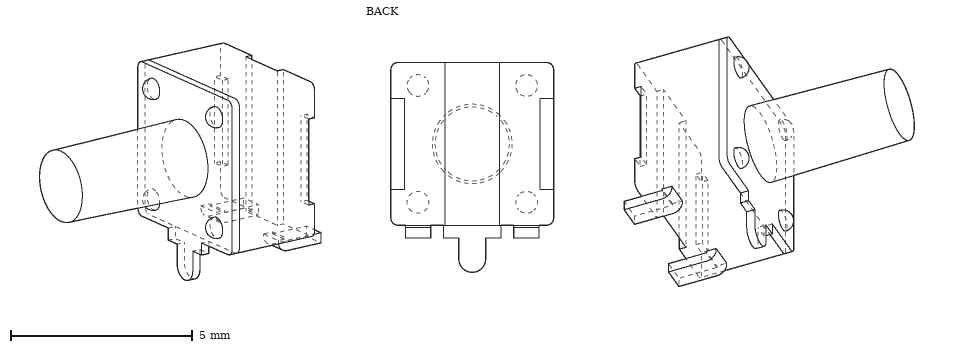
import cadquery as cq

TOTAL_LENGTH = 7.5

SIDE = 4.5
CORNER_RADIUS = 0.2
COVER_THICKNESS = 0.25
HOUSING_DEPTH = 2.55
HOUSING_BACK = COVER_THICKNESS + HOUSING_DEPTH
BOTTOM = -SIDE / 2

CHANNEL_WIDTH = 1.5
CHANNEL_DEPTH = 0.2
SIDE_NOTCH_HEIGHT = 2.505
SIDE_NOTCH_DEPTH = 0.195
SIDE_NOTCH_REACH = 0.375

SHOULDER_WIDTH = 1.6
SHOULDER_DROP = 0.35
TONGUE_WIDTH = 0.75
TONGUE_DROP = 1.3

BUTTON_BASE_DIAMETER = 2.2
BUTTON_TIP_DIAMETER = 2.05

STUD_RADIUS = 0.3
STUD_SPACING_X = 3.0
STUD_SPACING_Z = 3.225

TERMINAL_WIDTH = 0.705
TERMINAL_THICKNESS = 0.3
TERMINAL_SPACING = 2.985
TERMINAL_OVERHANG = 0.5
TERMINAL_DROP = SHOULDER_DROP
TERMINAL_INSET = 0.645

BUTTON_LENGTH = TOTAL_LENGTH - HOUSING_BACK - TERMINAL_OVERHANG


def rounded_square(start_y, depth):
    """Square block with rounded edges along Y, reaching from start_y toward +Y."""
    return (
        cq.Workplane("XZ", origin=(0, start_y, 0))
        .rect(SIDE, SIDE)
        .extrude(-depth)
        .edges("|Y")
        .fillet(CORNER_RADIUS)
    )


def make_housing():
    channel = cq.Workplane("XY").box(CHANNEL_WIDTH, 2 * CHANNEL_DEPTH, SIDE)
    side_notches = (
        cq.Workplane("XZ")
        .pushPoints([(-SIDE / 2, 0), (SIDE / 2, 0)])
        .rect(2 * SIDE_NOTCH_REACH, SIDE_NOTCH_HEIGHT)
        .extrude(SIDE_NOTCH_DEPTH)
    )
    back_face = (0, HOUSING_BACK, 0)
    block = rounded_square(COVER_THICKNESS, HOUSING_DEPTH)
    return block.cut(channel.translate(back_face)).cut(side_notches.translate(back_face))


def make_cover():
    half_shoulder = SHOULDER_WIDTH / 2
    half_tongue = TONGUE_WIDTH / 2
    shoulder_z = BOTTOM - SHOULDER_DROP
    tip_z = BOTTOM - TONGUE_DROP
    round_start_z = tip_z + half_tongue
    tab = (
        cq.Workplane("XZ")
        .moveTo(-half_shoulder, 0)
        .lineTo(-half_shoulder, shoulder_z)
        .lineTo(-half_tongue, shoulder_z)
        .lineTo(-half_tongue, round_start_z)
        .threePointArc((0, tip_z), (half_tongue, round_start_z))
        .lineTo(half_tongue, shoulder_z)
        .lineTo(half_shoulder, shoulder_z)
        .lineTo(half_shoulder, 0)
        .close()
        .extrude(-COVER_THICKNESS)
    )
    return rounded_square(0, COVER_THICKNESS).union(tab)


def make_button():
    return (
        cq.Workplane("YZ")
        .lineTo(0, BUTTON_BASE_DIAMETER / 2)
        .lineTo(-BUTTON_LENGTH, BUTTON_TIP_DIAMETER / 2)
        .lineTo(-BUTTON_LENGTH, 0)
        .close()
        .revolve(360, (0, 0), (1, 0))
    )


def make_stud(x, z):
    """Half sphere standing on the outer face of the cover plate."""
    return (
        cq.Workplane("XY")
        .lineTo(STUD_RADIUS, 0)
        .radiusArc((0, -STUD_RADIUS), STUD_RADIUS)
        .close()
        .revolve(360, (0, 0), (0, 1))
        .translate((x, 0, z))
    )


def make_terminal(x):
    """Strip that leaves the housing bottom and bends to run out past its back."""
    inner_y = HOUSING_BACK - TERMINAL_INSET
    foot_end_y = HOUSING_BACK + TERMINAL_OVERHANG
    foot_bottom_z = BOTTOM - TERMINAL_DROP
    foot_top_z = foot_bottom_z + TERMINAL_THICKNESS
    return (
        cq.Workplane("YZ", origin=(x, 0, 0))
        .moveTo(inner_y, BOTTOM)
        .lineTo(inner_y, foot_top_z)
        .lineTo(foot_end_y, foot_top_z)
        .lineTo(foot_end_y, foot_bottom_z)
        .lineTo(inner_y, foot_bottom_z)
        .radiusArc((inner_y - TERMINAL_THICKNESS, foot_top_z), TERMINAL_THICKNESS)
        .lineTo(inner_y - TERMINAL_THICKNESS, BOTTOM)
        .close()
        .extrude(TERMINAL_WIDTH / 2, both=True)
    )


housing = make_housing()
cover = make_cover()
button = make_button()
studs = [
    make_stud(side_x * STUD_SPACING_X / 2, side_z * STUD_SPACING_Z / 2)
    for side_x in (-1, 1)
    for side_z in (-1, 1)
]
terminals = [make_terminal(side_x * TERMINAL_SPACING / 2) for side_x in (-1, 1)]

result = cq.Compound.makeCompound([
    housing.val(),
    cover.val(),
    button.val(),
    *[stud.val() for stud in studs],
    *[terminal.val() for terminal in terminals],
])